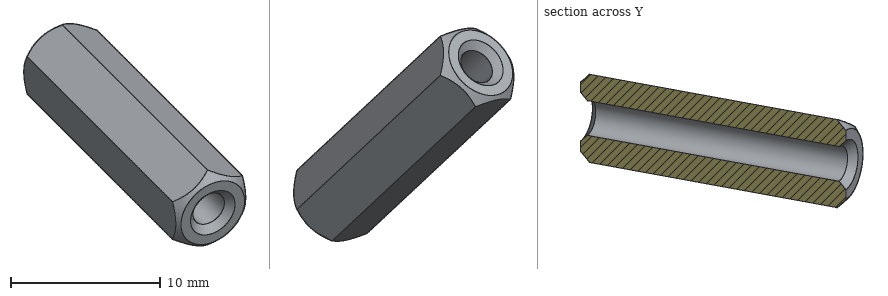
import cadquery as cq
import math

length = 20.0
side_count = 6
across_flats = 5.5
across_corners = across_flats / math.cos(math.pi / side_count)

end_face_diameter = 5.0
chamfer_angle = 45.0

bore_diameter = 2.46
countersink_diameter = 3.5
countersink_angle = 90.0

corner_radius = across_corners / 2
end_radius = end_face_diameter / 2
bore_radius = bore_diameter / 2
countersink_radius = countersink_diameter / 2
half_length = length / 2
chamfer_length = (corner_radius - end_radius) / math.tan(math.radians(chamfer_angle))
countersink_depth = (countersink_radius - bore_radius) / math.tan(math.radians(countersink_angle / 2))


def make_hex_bar():
    """Hexagonal prism centred on the origin, flats facing +Y and -Y."""
    corners = []
    for i in range(side_count):
        angle = math.pi / 2 + 2 * math.pi * i / side_count
        corners.append((corner_radius * math.cos(angle), corner_radius * math.sin(angle)))
    return cq.Workplane("YZ").polyline(corners).close().extrude(half_length, both=True)


def make_turned_envelope():
    """Tube about X: conical chamfers outside, countersunk through bore inside."""
    profile = [
        (-half_length, countersink_radius),
        (-half_length, end_radius),
        (-half_length + chamfer_length, corner_radius),
        (half_length - chamfer_length, corner_radius),
        (half_length, end_radius),
        (half_length, countersink_radius),
        (half_length - countersink_depth, bore_radius),
        (-half_length + countersink_depth, bore_radius),
    ]
    return cq.Workplane("XY").polyline(profile).close().revolve(360, (0, 0, 0), (1, 0, 0))


result = make_hex_bar().intersect(make_turned_envelope())